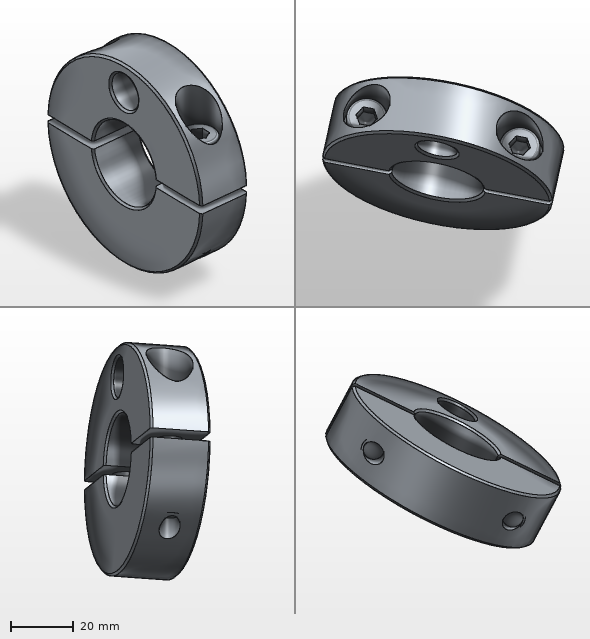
import cadquery as cq
import math

collar_diameter = 75.0
collar_width = 20.0
bore_diameter = 30.0
split_gap = 3.0
edge_chamfer = 0.75

cross_hole_diameter = 13.0
cross_hole_height = 27.0

screw_offset = 25.0
shank_diameter = 8.0
shank_length = 34.8
seat_height = 11.0
head_diameter = 13.0
head_height = shank_diameter
head_fillet = 0.8
socket_across_flats = 6.0
socket_depth = 4.0
socket_tip_angle = 120.0

counterbore_diameter = 15.0
tap_drill_diameter = 6.7

collar_radius = collar_diameter / 2
shank_end_height = seat_height - shank_length
head_top_height = seat_height + head_height
screw_positions = [-screw_offset, screw_offset]


def y_cylinder(diameter, height_above_axis=0):
    """Cylinder along Y across the collar width, centred on Y = 0."""
    return (
        cq.Workplane("XZ")
        .center(0, height_above_axis)
        .circle(diameter / 2)
        .extrude(collar_width / 2, both=True)
    )


def z_cylinder(x, diameter, bottom, top):
    """Cylinder along Z at the given X, between two heights."""
    return cq.Workplane("XY", origin=(x, 0, bottom)).circle(diameter / 2).extrude(top - bottom)


def chamfer_rims(ring):
    """Chamfer every edge of the two flat end faces of a full ring."""
    return ring.faces("<Y or >Y").edges().chamfer(edge_chamfer)


def make_ring():
    """Full ring with square rims."""
    return y_cylinder(collar_diameter).cut(y_cylinder(bore_diameter))


def half_space(side):
    """Block that covers the ring above (side = 1) or below (side = -1) the split gap."""
    height = collar_radius - split_gap / 2
    middle = side * (split_gap + height) / 2
    block = cq.Workplane("XY").box(collar_diameter, collar_width, height)
    return block.translate((0, 0, middle))


def make_upper_half():
    """Upper half with a chamfered cross hole and counterbored screw holes."""
    ring = make_ring().cut(y_cylinder(cross_hole_diameter, cross_hole_height))
    half = chamfer_rims(ring).intersect(half_space(1))
    for x in screw_positions:
        half = half.cut(z_cylinder(x, shank_diameter, 0, seat_height))
        half = half.cut(z_cylinder(x, counterbore_diameter, seat_height, collar_radius))
    return half


def make_lower_half():
    """Lower half with screw holes that narrow to the tap drill below the screw ends."""
    half = chamfer_rims(make_ring()).intersect(half_space(-1))
    for x in screw_positions:
        half = half.cut(z_cylinder(x, shank_diameter, shank_end_height, 0))
        half = half.cut(z_cylinder(x, tap_drill_diameter, -collar_radius, shank_end_height))
    return half


def make_screw(x):
    """Cap screw with a rounded head edge and a hexagon socket ending in a conical bottom."""
    shank = z_cylinder(x, shank_diameter, shank_end_height, seat_height)
    head = z_cylinder(x, head_diameter, seat_height, head_top_height)
    head = head.faces(">Z").edges().fillet(head_fillet)

    socket_corner_radius = socket_across_flats / math.sqrt(3)
    tip_depth = socket_corner_radius / math.tan(math.radians(socket_tip_angle / 2))
    socket_floor = head_top_height - socket_depth
    socket = (
        cq.Workplane("XY", origin=(x, 0, socket_floor - tip_depth))
        .polygon(6, 2 * socket_corner_radius)
        .extrude(socket_depth + tip_depth)
    )
    pointed_bore = (
        cq.Workplane("XZ", origin=(x, 0, socket_floor - tip_depth))
        .polyline([
            (0, 0),
            (socket_corner_radius, tip_depth),
            (socket_corner_radius, tip_depth + socket_depth),
            (0, tip_depth + socket_depth),
        ])
        .close()
        .revolve(360, (0, 0), (0, 1))
    )
    return shank.union(head).cut(socket.intersect(pointed_bore))


upper_half = make_upper_half()
lower_half = make_lower_half()
screws = [make_screw(x) for x in screw_positions]

result = cq.Compound.makeCompound([
    upper_half.solids().val(),
    lower_half.solids().val(),
    *[screw.solids().val() for screw in screws],
])